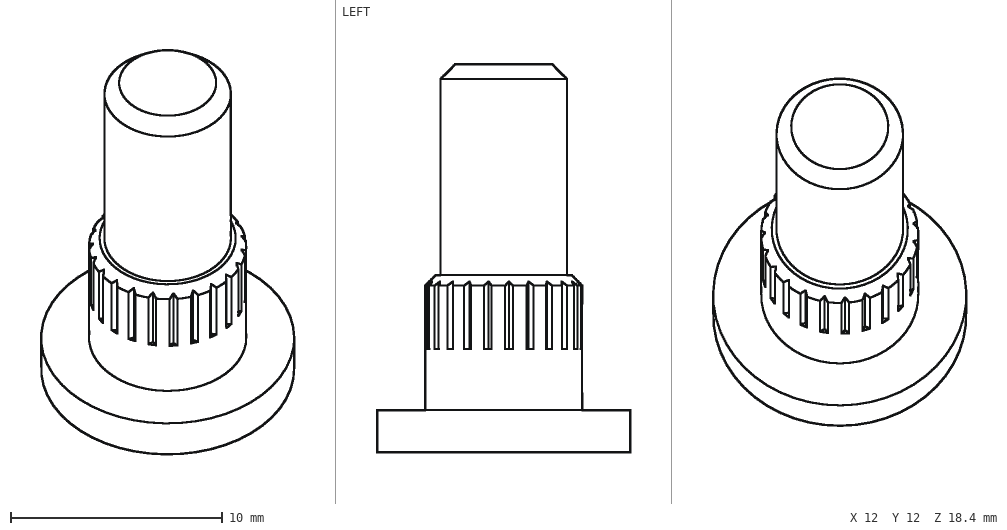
import cadquery as cq
import math

head_diameter = 12.0
head_height = 2.0

shoulder_diameter = 7.45
shoulder_height = 6.4
shoulder_chamfer = 0.5

pin_diameter = 6.0
pin_length = 10.0
pin_chamfer = 0.7

groove_count = 23
groove_depth = 0.19
groove_angle = 90.0
cutter_overreach = 0.2
knurl_length = 3.5
first_groove_direction = 90.0

shoulder_radius = shoulder_diameter / 2
shoulder_top = head_height + shoulder_height
knurl_bottom = shoulder_top - knurl_length


def make_body():
    """Stepped round body: head, chamfered shoulder and chamfered pin."""
    head = cq.Workplane("XY").circle(head_diameter / 2).extrude(head_height)
    shoulder = (
        cq.Workplane("XY", origin=(0, 0, head_height))
        .circle(shoulder_radius)
        .extrude(shoulder_height)
        .faces(">Z")
        .chamfer(shoulder_chamfer)
    )
    pin = (
        cq.Workplane("XY", origin=(0, 0, shoulder_top))
        .circle(pin_diameter / 2)
        .extrude(pin_length)
        .faces(">Z")
        .chamfer(pin_chamfer)
    )
    return head.union(shoulder).union(pin)


def make_groove_cutter(direction):
    """Triangular prism whose apex points at the axis, turned to the given direction."""
    apex_radius = shoulder_radius - groove_depth
    cutter_depth = groove_depth + cutter_overreach
    half_width = cutter_depth * math.tan(math.radians(groove_angle / 2))
    outer_radius = shoulder_radius + cutter_overreach
    return (
        cq.Workplane("XY", origin=(0, 0, knurl_bottom))
        .polyline([(apex_radius, 0), (outer_radius, -half_width), (outer_radius, half_width)])
        .close()
        .extrude(knurl_length)
        .rotate((0, 0, 0), (0, 0, 1), direction)
    )


def cut_knurl(body):
    """Cut the grooves at equal steps around the shoulder."""
    step = 360 / groove_count
    for index in range(groove_count):
        body = body.cut(make_groove_cutter(first_groove_direction + index * step))
    return body


result = cut_knurl(make_body())